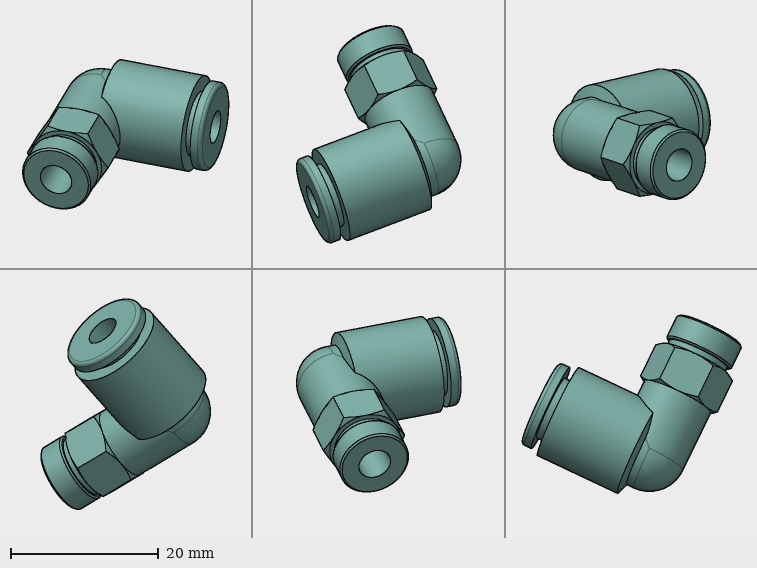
import cadquery as cq
import math


body_radius = 5.0

hex_flats = 10.0
hex_start = 8.8
hex_end = 14.43
hex_corners = hex_flats / math.cos(math.pi / 6)
hex_chamfer_angle = math.radians(30)
hex_face_radius = hex_flats / 2

undercut_radius = 4.34
undercut_end = 15.35
stud_radius = 4.87
stud_end = 18.9
stud_chamfer = 0.25

cone_start = 1.07
socket_start = 1.68
socket_end = 13.7
socket_radius = 6.6

collar_neck_radius = 4.5
collar_start = 14.85
overall_width = 22.15
collar_end = overall_width - hex_corners / 2
collar_radius = 6.1
collar_round = 0.54

bore_radius = 2.25


def rod_y(radius, start, end):
    """Cylinder along -Y between two distances from the origin."""
    return cq.Workplane("XZ").workplane(offset=start).circle(radius).extrude(end - start)


def rod_x(radius, start, end):
    """Cylinder along +X between two distances from the origin."""
    return cq.Workplane("YZ").workplane(offset=start).circle(radius).extrude(end - start)


def make_hexagon():
    """Hexagon whose corners are cut back by a cone at both ends."""
    prism = (
        cq.Workplane("XZ")
        .workplane(offset=hex_start)
        .polygon(6, hex_corners)
        .extrude(hex_end - hex_start)
    )
    corner_radius = hex_corners / 2
    drop = (corner_radius - hex_face_radius) * math.tan(hex_chamfer_angle)
    envelope = (
        cq.Workplane("XY")
        .moveTo(0, -hex_start)
        .lineTo(hex_face_radius, -hex_start)
        .lineTo(corner_radius, -hex_start - drop)
        .lineTo(corner_radius, -hex_end + drop)
        .lineTo(hex_face_radius, -hex_end)
        .lineTo(0, -hex_end)
        .close()
        .revolve(360, (0, 0), (0, 1))
    )
    return prism.intersect(envelope)


def make_stud():
    """Undercut and chamfered stud."""
    undercut = rod_y(undercut_radius, hex_end, undercut_end)
    stud = rod_y(stud_radius, undercut_end, stud_end).edges().chamfer(stud_chamfer)
    return undercut.union(stud)


def make_socket():
    """Tube socket, flared out of the body, with its release collar."""
    socket = (
        cq.Workplane("XY")
        .moveTo(cone_start, 0)
        .lineTo(cone_start, body_radius)
        .lineTo(socket_start, socket_radius)
        .lineTo(socket_end, socket_radius)
        .lineTo(socket_end, 0)
        .close()
        .revolve(360, (0, 0), (1, 0))
    )
    neck = rod_x(collar_neck_radius, socket_end, collar_start)
    collar = rod_x(collar_radius, collar_start, collar_end).edges(">X").fillet(collar_round)
    return socket.union(neck).union(collar)


def make_bore():
    """Passage from the stud face to the collar face, rounded at the elbow corner."""
    corner = cq.Workplane("XY").sphere(bore_radius)
    stud_bore = rod_y(bore_radius, 0, stud_end)
    socket_bore = rod_x(bore_radius, 0, collar_end)
    return corner.union(stud_bore).union(socket_bore)


elbow = (
    cq.Workplane("XY")
    .sphere(body_radius)
    .union(rod_y(body_radius, 0, hex_start))
    .union(rod_x(body_radius, 0, cone_start))
)
result = elbow.union(make_hexagon()).union(make_stud()).union(make_socket()).cut(make_bore())